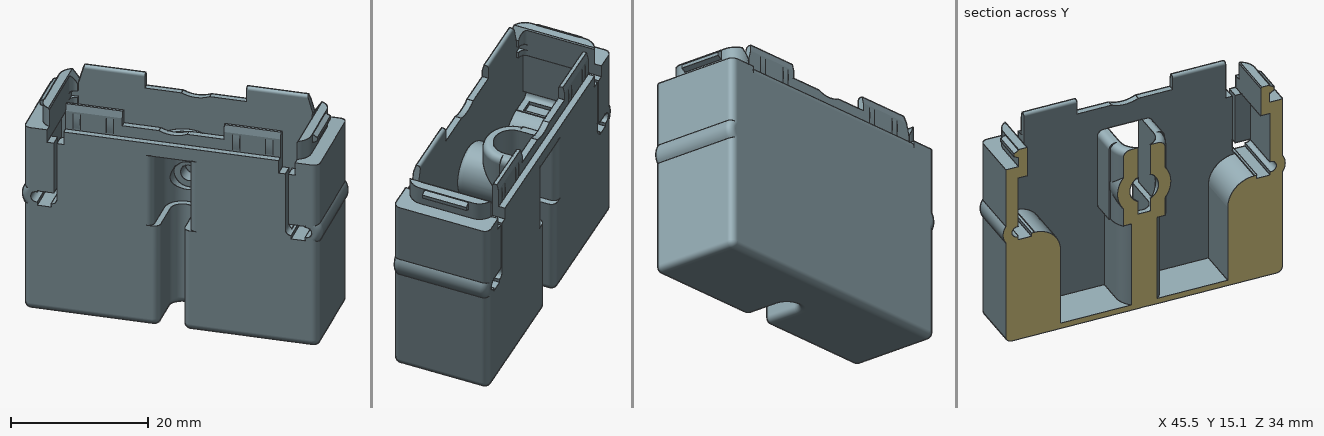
import cadquery as cq
import math

wall = 1.0
half_length = 22.28
half_width = 7.55
shoulder_z = 30.0
panel_z = 31.78
lug_z = 34.05
tab_z = 32.95

panel_y = half_width - wall
cavity_y = panel_y - wall
cavity_x = 18.75
lower_cavity_x = 13.4
ledge_z = 17.9
ledge_radius = 4.27

flap_x = 17.75
slit_x = 17.27
notch_z = 27.95
panel_end_x = 16.25
hinge_z = 18.75
bead_radius = 2.5
bead_height = 0.45
pocket_end_x = 21.25
pocket_top_z = 19.75
groove_x = 18.15
groove_z = 17.35
tab_x = 20.25
tab_radius = 2.45
tab_y = 6.65
tab_corner_y = tab_y - tab_radius
tab_slope_x = 18.85
recess_z = 28.95
vee_z = 31.25
nub_half_width = 3.5
nub_reach = 0.75
nub_top_z = 32.8
nub_bottom_z = 31.45
nub_bevel_z = 0.4

lug_inner_x = 7.7
lug_taper_x = 16.9
lug_bevel = 0.27
lug_inner_round = 0.45
dip_depth = 0.45
dip_half_length = 2.15
catch_centres = (9.55, 14.55)
catch_width = 1.1
catch_height = 2.35
catch_bulge = 0.1
catch_z = 31.45

column_y = -1.55
channel_radius = 1.8
window_radius = 2.75
window_bottom_z = 16.45
window_top_z = notch_z
column_wall = 1.5
column_leg_x = 4.45
boss_z = 20.7
boss_radius = 4.3
bore_radius = 2.27
bore_floor_y = 2.05
pilot_radius = 1.27
pilot_floor_y = 4.5

DIAGONAL = math.sqrt(0.5)


def slab(x0, x1, y0, y1, z0, z1):
    """Axis-aligned block between two opposite corners."""
    return cq.Workplane("XY").box(x1 - x0, y1 - y0, z1 - z0, centered=False).translate((x0, y0, z0))


def along_x(outline, x0, x1):
    """Extrude an outline drawn on the YZ plane from x0 to x1."""
    return outline.extrude(x1 - x0).translate((x0, 0, 0))


def along_y(outline, y0, y1):
    """Extrude an outline drawn on the XZ plane from y0 to y1."""
    return outline.extrude(y0 - y1).translate((0, y0, 0))


def rod_y(x, z, radius, y0, y1):
    """Cylinder parallel to Y."""
    return along_y(cq.Workplane("XZ").center(x, z).circle(radius), y0, y1)


def both_ends(left_part):
    """A left-hand part joined with its mirror image at the right-hand end."""
    return left_part.union(left_part.mirror("YZ"))


def channel(radius, z0, z1):
    """U-shaped channel open to the front, its mouth flared by convex round edges."""
    mouth = radius + wall
    bend_y = wall - half_width
    flare_x = mouth - wall * DIAGONAL
    flare_y = bend_y - wall * DIAGONAL
    outline = (
        cq.Workplane("XY").moveTo(-mouth, -half_width)
        .threePointArc((-flare_x, flare_y), (-radius, bend_y)).lineTo(-radius, column_y)
        .threePointArc((0, column_y + radius), (radius, column_y)).lineTo(radius, bend_y)
        .threePointArc((flare_x, flare_y), (mouth, -half_width)).close()
    )
    return outline.extrude(z1 - z0).translate((0, 0, z0))


def column():
    """Solid column around the two channels, with the cross boss to the rear wall."""
    lower_radius = channel_radius + column_wall
    upper_radius = window_radius + column_wall
    upper_z = window_bottom_z - column_wall
    upper_height = window_top_z - upper_z

    def round_post(radius, height):
        post = cq.Workplane("XY").center(0, column_y).circle(radius).extrude(height)
        return post.union(slab(-radius, radius, -half_width, column_y, 0, height))

    upper = round_post(upper_radius, upper_height).faces(">Z").edges("not <Y").fillet(wall)
    legs = slab(-column_leg_x, column_leg_x, -half_width, column_y, 0, upper_height)
    legs = legs.edges("|Y and >Z").fillet(wall)
    boss = rod_y(0, boss_z, boss_radius, column_y, cavity_y).faces(">Y").edges().fillet(wall)
    upper = upper.union(legs).translate((0, 0, upper_z))
    return round_post(lower_radius, window_bottom_z).union(upper).union(boss)


def outer_box():
    """Rounded box with the lower channel running out through its floor, and the hinge beads."""
    box = slab(-half_length, half_length, -half_width, half_width, 0, shoulder_z)
    box = box.edges("|Z").fillet(wall)
    box = box.cut(channel(channel_radius, 0, window_bottom_z))
    box = box.faces("<Z").edges().fillet(wall)
    bead_x = half_length + bead_height - bead_radius
    bead = rod_y(-bead_x, hinge_z, bead_radius, -half_width, half_width).edges("%CIRCLE").fillet(wall)
    return box.union(both_ends(bead))


def cavity():
    """Hollow inside: deep and narrow below, longer above the rounded inner shoulders."""
    crest_x = lower_cavity_x + ledge_radius
    root_z = ledge_z - ledge_radius
    arc = ledge_radius * DIAGONAL
    outline = (
        cq.Workplane("XZ").moveTo(0, wall).lineTo(-lower_cavity_x, wall).lineTo(-lower_cavity_x, root_z)
        .threePointArc((arc - crest_x, root_z + arc), (-crest_x, ledge_z))
        .lineTo(-crest_x, lug_z).lineTo(0, lug_z).close()
    )
    hollow = along_y(outline, -cavity_y, cavity_y)
    end = slab(-cavity_x, 0, -cavity_y, cavity_y, pocket_top_z, lug_z)
    return both_ends(hollow.union(end))


def corner_fill():
    """Concave filling of the rear left cavity corner, concentric with the tab, with its recess."""
    fill = slab(-cavity_x, -flap_x, tab_corner_y, cavity_y, notch_z, tab_z)
    hollow = cq.Workplane("XY").center(-flap_x, tab_corner_y).circle(cavity_x - flap_x).extrude(tab_z)
    recess = slab(-cavity_x, -flap_x, tab_corner_y, cavity_y, recess_z, shoulder_z)
    return fill.cut(hollow).cut(recess)


def tab_slope():
    """Stock removed to slope the inside of the left tab down to the vee."""
    outline = (
        cq.Workplane("XZ").moveTo(-tab_slope_x, tab_z).lineTo(-flap_x, tab_z).lineTo(-flap_x, vee_z).close()
    )
    return along_y(outline, -tab_y, tab_y)


def flap_gap():
    """Slit, gap, notch and hollow that free the left flap so that it can swing on its hinge."""
    foot_radius = hinge_z - ledge_z
    foot_x = slit_x + foot_radius
    foot_arc = foot_radius * DIAGONAL
    outline = (
        cq.Workplane("XZ").moveTo(-flap_x, notch_z).lineTo(-flap_x, pocket_top_z)
        .lineTo(-tab_x, pocket_top_z).lineTo(-tab_x, hinge_z + foot_radius)
        .threePointArc((-pocket_end_x, hinge_z), (-tab_x, ledge_z)).lineTo(-foot_x, ledge_z)
        .threePointArc((foot_arc - foot_x, hinge_z - foot_arc), (-slit_x, hinge_z))
        .lineTo(-slit_x, notch_z).close()
    )
    gap = along_y(outline, -half_width, cavity_y)
    hollow = slab(-tab_x, -groove_x, -cavity_y, cavity_y, hinge_z, notch_z)
    groove = slab(-tab_x, -groove_x, -half_width, cavity_y - wall, groove_z, hinge_z)
    notch = slab(-cavity_x, -panel_end_x, -half_width, -cavity_y, notch_z, lug_z)
    return gap.union(groove).union(hollow).union(notch)


def end_tab():
    """Rounded tab on top of the left flap, with its latch nub."""
    tab = slab(-tab_x, tab_x, -tab_y, tab_y, shoulder_z, tab_z).edges("|Z").fillet(tab_radius)
    tab = tab.intersect(slab(-tab_x, -flap_x, -tab_y, tab_y, shoulder_z, tab_z))
    root_x = tab_x - wall / 2
    tip_x = tab_x + nub_reach
    nub = (
        cq.Workplane("XZ").moveTo(-root_x, nub_top_z).lineTo(-tab_x, nub_top_z)
        .lineTo(-tip_x, nub_top_z - nub_bevel_z).lineTo(-tip_x, nub_bottom_z + nub_bevel_z)
        .lineTo(-tab_x, nub_bottom_z).lineTo(-root_x, nub_bottom_z).close()
    )
    return tab.union(along_y(nub, -nub_half_width, nub_half_width))


def front_panel(end_x):
    """Upper panel on the front wall with finger dip, lugs and catches, reaching end_x both ways."""
    panel = slab(-end_x, end_x, -panel_y, -cavity_y, shoulder_z, panel_z)
    dip_radius = (dip_half_length**2 + dip_depth**2) / (2 * dip_depth)
    panel = panel.cut(rod_y(0, panel_z - dip_depth + dip_radius, dip_radius, -panel_y, -cavity_y))

    lug_outline = (
        cq.Workplane("YZ").moveTo(-panel_y, shoulder_z).lineTo(-panel_y, tab_z)
        .lineTo(lug_bevel - panel_y, lug_z).lineTo(-cavity_y, lug_z).lineTo(-cavity_y, shoulder_z).close()
    )
    lug = along_x(lug_outline, -end_x, -lug_inner_x)
    lug = lug.edges("|X and >Z").edges(">Y").fillet(lug_inner_round)

    half_catch = catch_height / 2
    catch_outline = (
        cq.Workplane("YZ").moveTo(-panel_y, catch_z - half_catch)
        .threePointArc((-panel_y - catch_bulge, catch_z), (-panel_y, catch_z + half_catch)).close()
    )
    catch = along_x(catch_outline, -catch_width / 2, catch_width / 2)
    for centre in catch_centres:
        lug = lug.union(catch.translate((-centre, 0, 0)))
    return panel.union(both_ends(lug))


def rear_panel():
    """Upper panel on the rear wall: the front panel turned round, longer and with slanted ends."""
    panel = front_panel(flap_x).mirror("XZ")
    slant = (
        cq.Workplane("XZ").moveTo(-flap_x, vee_z).lineTo(-lug_taper_x, lug_z).lineTo(-flap_x, lug_z).close()
    )
    return panel.cut(both_ends(along_y(slant, 0, half_width)))


def rear_edge_round():
    """Stock removed to round the top rear edge between the two flaps."""
    corner = slab(-flap_x, flap_x, panel_y, half_width, shoulder_z - wall, shoulder_z)
    round_bar = cq.Workplane("YZ").center(panel_y, shoulder_z - wall).circle(wall)
    return corner.cut(along_x(round_bar, -flap_x, flap_x))


def screw_seat():
    """Counterbored blind hole in the back of the window."""
    bore = rod_y(0, boss_z, bore_radius, column_y, bore_floor_y)
    return bore.union(rod_y(0, boss_z, pilot_radius, column_y, pilot_floor_y))


result = outer_box().union(both_ends(end_tab()))
result = result.cut(rear_edge_round())
result = result.cut(cavity().cut(column()))
result = result.union(both_ends(corner_fill())).cut(both_ends(tab_slope()))
result = result.union(front_panel(panel_end_x)).union(rear_panel())
result = result.cut(both_ends(flap_gap()))
result = result.cut(channel(window_radius, window_bottom_z, window_top_z)).cut(screw_seat())